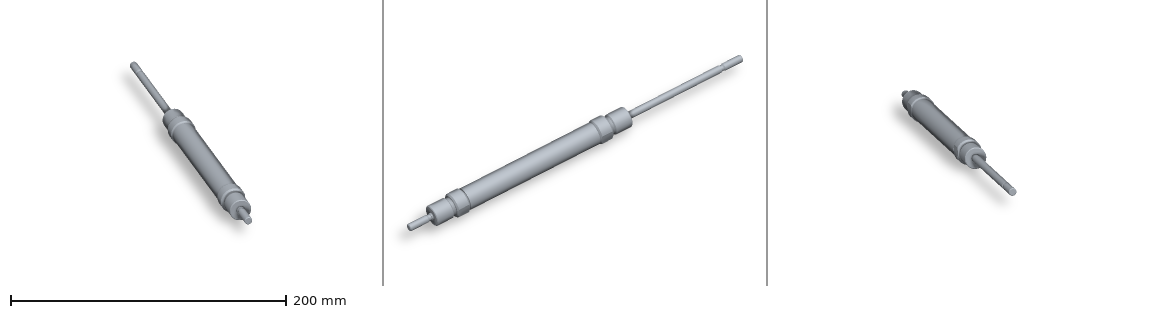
import cadquery as cq


rod_length = 289.0
rod_radius = 3.0
rod_groove_radius = 2.3
rod_groove_width = 2.0
thread_runout = 1.2
left_thread_length = 16.5
right_groove_start = 270.2
tip_chamfer = 0.5

head_start = 99.5
head_span = 169.5
nose_length = 14.7
nose_radius = 8.0
nose_chamfer = 0.5
neck_radius = 7.2
neck_length = 2.3
collar_radius = 9.5
collar_length = 11.5
collar_outer_chamfer = 1.2
collar_inner_chamfer = 1.7
bore_chamfer = 0.5

tube_radius = 8.7
tube_bore_radius = 7.5

head_length = nose_length + neck_length + collar_length
tube_length = head_span - 2 * head_length
flat_offset = tube_radius


def revolve_about_x(points):
    """Turn a closed (x, radius) outline about the X axis."""
    return cq.Workplane("XZ").polyline(points).close().revolve(360, (0, 0, 0), (1, 0, 0))


def make_rod():
    left_groove_end = left_thread_length + rod_groove_width
    right_groove_end = right_groove_start + rod_groove_width
    return revolve_about_x([
        (0, 0),
        (0, rod_radius - tip_chamfer),
        (tip_chamfer, rod_radius),
        (left_thread_length - thread_runout, rod_radius),
        (left_thread_length, rod_groove_radius),
        (left_groove_end, rod_groove_radius),
        (left_groove_end, rod_radius),
        (right_groove_start, rod_radius),
        (right_groove_start, rod_groove_radius),
        (right_groove_end, rod_groove_radius),
        (right_groove_end + thread_runout, rod_radius),
        (rod_length - tip_chamfer, rod_radius),
        (rod_length, rod_radius - tip_chamfer),
        (rod_length, 0),
    ])


def make_left_head():
    collar_start = nose_length + neck_length
    neck_chamfer = nose_radius - neck_radius
    body = revolve_about_x([
        (bore_chamfer, rod_radius),
        (0, rod_radius + bore_chamfer),
        (0, nose_radius - nose_chamfer),
        (nose_chamfer, nose_radius),
        (nose_length - neck_chamfer, nose_radius),
        (nose_length, neck_radius),
        (collar_start, neck_radius),
        (collar_start, collar_radius - collar_outer_chamfer),
        (collar_start + collar_outer_chamfer, collar_radius),
        (head_length - collar_inner_chamfer, collar_radius),
        (head_length, collar_radius - collar_inner_chamfer),
        (head_length, rod_radius),
    ])
    beyond_flat = (
        cq.Workplane("XY", origin=(0, flat_offset, 0))
        .box(head_length, collar_radius, 2 * collar_radius, centered=(False, False, True))
    )
    return body.cut(beyond_flat).translate((head_start, 0, 0))


def make_tube():
    return (
        cq.Workplane("YZ", origin=(head_start + head_length, 0, 0))
        .circle(tube_radius)
        .circle(tube_bore_radius)
        .extrude(tube_length)
    )


rod = make_rod()
left_head = make_left_head()
right_head = left_head.mirror("YZ", (head_start + head_span / 2, 0, 0))
tube = make_tube()
result = cq.Compound.makeCompound([rod.val(), left_head.val(), right_head.val(), tube.val()])